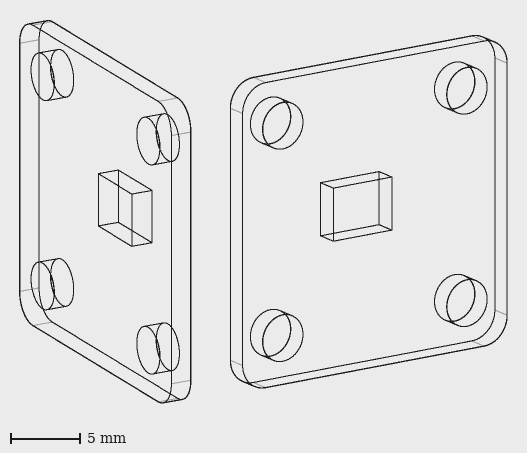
import cadquery as cq

plate_side = 23.0
plate_thickness = 1.6
corner_radius = 2.0

hole_diameter = 3.5
hole_spacing = 16.0

total_depth = 3.27
block_width = 5.08
block_height = 4.0
block_depth = total_depth - plate_thickness


def make_plate():
    """Rounded square plate with its front face at Y = 0."""
    return (
        cq.Workplane("XZ")
        .rect(plate_side, plate_side)
        .extrude(-plate_thickness)
        .edges("|Y")
        .fillet(corner_radius)
    )


def make_holes():
    """Cylinders that cut the four mounting holes through the plate."""
    return (
        cq.Workplane("XZ")
        .rect(hole_spacing, hole_spacing, forConstruction=True)
        .vertices()
        .circle(hole_diameter / 2)
        .extrude(-plate_thickness)
    )


def make_block():
    """Block rising from the back face of the plate."""
    return (
        cq.Workplane("XZ", origin=(0, plate_thickness, 0))
        .rect(block_width, block_height)
        .extrude(-block_depth)
    )


result = make_plate().cut(make_holes()).union(make_block())